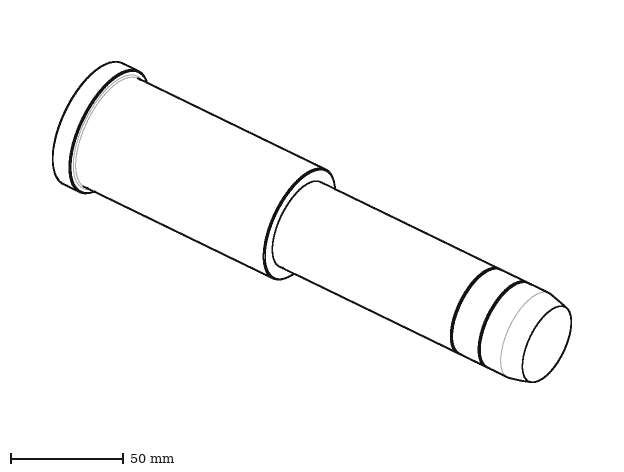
import cadquery as cq

total_length = 251.0

head_radius = 60.0 / 2
head_length = 10.0
head_chamfer = 0.5
front_chamfer = 0.5

body_radius = 54.0 / 2
body_end = 115.0
body_chamfer = 0.5
root_fillet = 0.8

pin_radius = 42.0 / 2
groove_centers = (213.5, 229.0)
groove_width = 0.8
groove_depth = 0.3

nose_length = 10.3
nose_drop = 2.5
nose_middle_drop = 1.0


def turned_blank():
    """Revolve the half profile of the head, body, pin and rounded nose."""
    root_end = head_length + root_fillet
    nose_middle = (total_length - nose_length / 2, pin_radius - nose_middle_drop)
    nose_end = (total_length, pin_radius - nose_drop)
    profile = (
        cq.Workplane("XY")
        .lineTo(0, head_radius - front_chamfer)
        .lineTo(front_chamfer, head_radius)
        .lineTo(head_length - head_chamfer, head_radius)
        .lineTo(head_length, head_radius - head_chamfer)
        .lineTo(head_length, body_radius + root_fillet)
        .tangentArcPoint((root_end, body_radius), relative=False)
        .lineTo(body_end - body_chamfer, body_radius)
        .lineTo(body_end, body_radius - body_chamfer)
        .lineTo(body_end, pin_radius)
        .lineTo(total_length - nose_length, pin_radius)
        .threePointArc(nose_middle, nose_end)
        .lineTo(total_length, 0)
        .close()
    )
    return profile.revolve(360, (0, 0, 0), (1, 0, 0))


def ring_groove(center):
    """Ring of material to remove for one shallow groove around the pin."""
    return (
        cq.Workplane("YZ", origin=(center - groove_width / 2, 0, 0))
        .circle(pin_radius + groove_depth)
        .circle(pin_radius - groove_depth)
        .extrude(groove_width)
    )


result = turned_blank()
for groove_center in groove_centers:
    result = result.cut(ring_groove(groove_center))